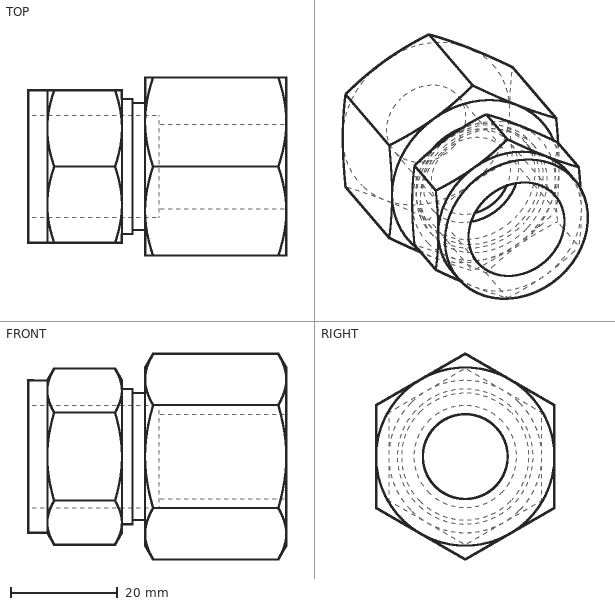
import cadquery as cq
import math

total_length = 48.25
collar_length = 3.55
nut_length = 13.95
ring_length = 2.05
neck_length = 2.3

nut_across_flats = 28.55
body_across_flats = 33.35
collar_diameter = nut_across_flats
ring_diameter = 25.35
neck_diameter = 23.8
socket_diameter = 19.15
bore_diameter = 15.85

socket_depth = 24.4
corner_angle = 30.0

nut_start = collar_length
ring_start = nut_start + nut_length
neck_start = ring_start + ring_length
body_start = neck_start + neck_length
body_length = total_length - body_start


def cylinder(start, length, diameter):
    """Round section centred on the X axis."""
    return cq.Workplane("YZ", origin=(start, 0, 0)).circle(diameter / 2).extrude(length)


def hexagon(start, length, across_flats):
    """Hexagonal section with corners up and down and both ends cut to a cone."""
    flat_radius = across_flats / 2
    corner_radius = flat_radius / math.cos(math.radians(30))
    corner_cut = (corner_radius - flat_radius) * math.tan(math.radians(corner_angle))
    end = start + length

    prism = (
        cq.Workplane("YZ", origin=(start, 0, 0))
        .transformed(rotate=(0, 0, 90))
        .polygon(6, 2 * corner_radius)
        .extrude(length)
    )
    envelope = (
        cq.Workplane("XY")
        .polyline([
            (start, 0),
            (start, flat_radius),
            (start + corner_cut, corner_radius),
            (end - corner_cut, corner_radius),
            (end, flat_radius),
            (end, 0),
        ])
        .close()
        .revolve(360, (0, 0, 0), (1, 0, 0))
    )
    return prism.intersect(envelope)


collar = cylinder(0, collar_length, collar_diameter)
nut = hexagon(nut_start, nut_length, nut_across_flats)
ring = cylinder(ring_start, ring_length, ring_diameter)
neck = cylinder(neck_start, neck_length, neck_diameter)
body = hexagon(body_start, body_length, body_across_flats)

socket = cylinder(0, socket_depth, socket_diameter)
bore = cylinder(0, total_length, bore_diameter)

result = collar.union(nut).union(ring).union(neck).union(body).cut(socket).cut(bore)